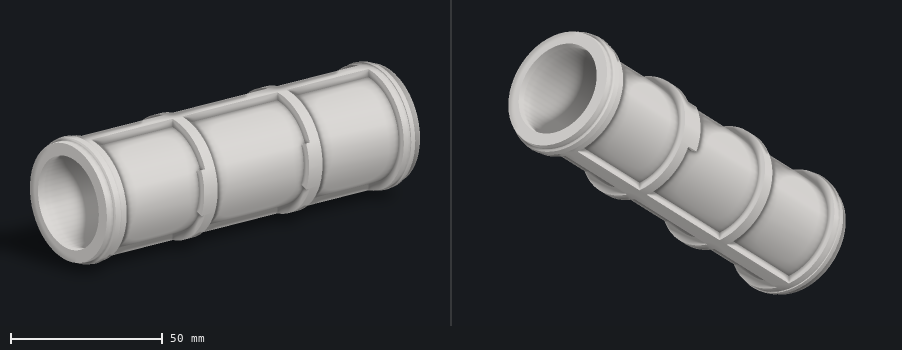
import cadquery as cq
import math

length = 132.59
lip_diameter = 43.31
ring_diameter = 42.42
body_diameter = 36.83
bore_diameter = 31.75

nose_face_diameter = 40.5
nose_root_diameter = 41.1
nose_length = 2.45
shoulder_diameter = 42.7
shoulder_distance = 2.9
lip_distance = 4.83
collar_length = 7.62

mouth_diameter = 32.0
mouth_depth = 2.54

ring_width = 4.06
ring_offset = 22.2
rib_width = 5.08
left_pad_height = 16.6
left_pad_overhang = 4.5
right_pad_height = 16.0
right_pad_overhang = 1.6

half_length = length / 2
ring_radius = ring_diameter / 2


def cylinder(diameter, y_start, y_end):
    """Solid cylinder on the Y axis between two stations."""
    disc = cq.Workplane("XZ", origin=(0, y_end, 0)).circle(diameter / 2)
    return disc.extrude(y_end - y_start)


def end_collar():
    """Collar at the -Y end: tapered nose, conical shoulder, small lip and ring."""
    profile = (
        cq.Workplane("XY")
        .lineTo(0, collar_length)
        .lineTo(ring_radius, collar_length)
        .lineTo(ring_radius, lip_distance)
        .lineTo(lip_diameter / 2, lip_distance)
        .lineTo(shoulder_diameter / 2, shoulder_distance)
        .lineTo(nose_root_diameter / 2, nose_length)
        .lineTo(nose_face_diameter / 2, 0)
        .close()
    )
    return profile.revolve(360, (0, 0, 0), (0, 1, 0)).translate((0, -half_length, 0))


def mouth():
    """Flared cutter for the bore mouth at the -Y end."""
    outline = [
        (0, 0),
        (mouth_diameter / 2, 0),
        (bore_diameter / 2, mouth_depth),
        (0, mouth_depth),
    ]
    profile = cq.Workplane("XY").polyline(outline).close()
    return profile.revolve(360, (0, 0, 0), (0, 1, 0)).translate((0, -half_length, 0))


def both_ends(shape):
    """The given -Y end shape together with its mirror image at the +Y end."""
    return shape.union(shape.mirror("XZ"))


def middle_ring(y_center):
    """Raised ring around the tube, centred on the given station."""
    return cylinder(ring_diameter, y_center - ring_width / 2, y_center + ring_width / 2)


def ribs():
    """Ribs along the top and bottom of the tube, rounded to the ring diameter."""
    inner_length = length - 2 * collar_length
    slab = cq.Workplane("XY").box(rib_width, inner_length, ring_diameter)
    return slab.intersect(cylinder(ring_diameter, -half_length, half_length))


def label_pad(side, ring_center, height, overhang):
    """Curved pad on the -X (side = -1) or +X (side = 1) flank, with radial edges, reaching past a ring toward -Y."""
    y_start = ring_center - ring_width / 2 - overhang
    y_end = ring_center + ring_width / 2
    half_angle = math.asin(height / ring_diameter)
    wedge_half_height = ring_diameter * math.tan(half_angle)
    wedge = (
        cq.Workplane("XZ", origin=(0, y_end, 0))
        .moveTo(0, 0)
        .lineTo(side * ring_diameter, wedge_half_height)
        .lineTo(side * ring_diameter, -wedge_half_height)
        .close()
        .extrude(y_end - y_start)
    )
    return wedge.intersect(cylinder(ring_diameter, y_start, y_end))


outside = cylinder(body_diameter, -half_length + nose_length, half_length - nose_length)
outside = outside.union(both_ends(end_collar())).union(ribs())
for ring_center in (-ring_offset, ring_offset):
    outside = outside.union(middle_ring(ring_center))
    outside = outside.union(label_pad(1, ring_center, right_pad_height, right_pad_overhang))
outside = outside.union(label_pad(-1, ring_offset, left_pad_height, left_pad_overhang))

result = outside.cut(cylinder(bore_diameter, -half_length, half_length))
for end_mouth in (mouth(), mouth().mirror("XZ")):
    result = result.cut(end_mouth)